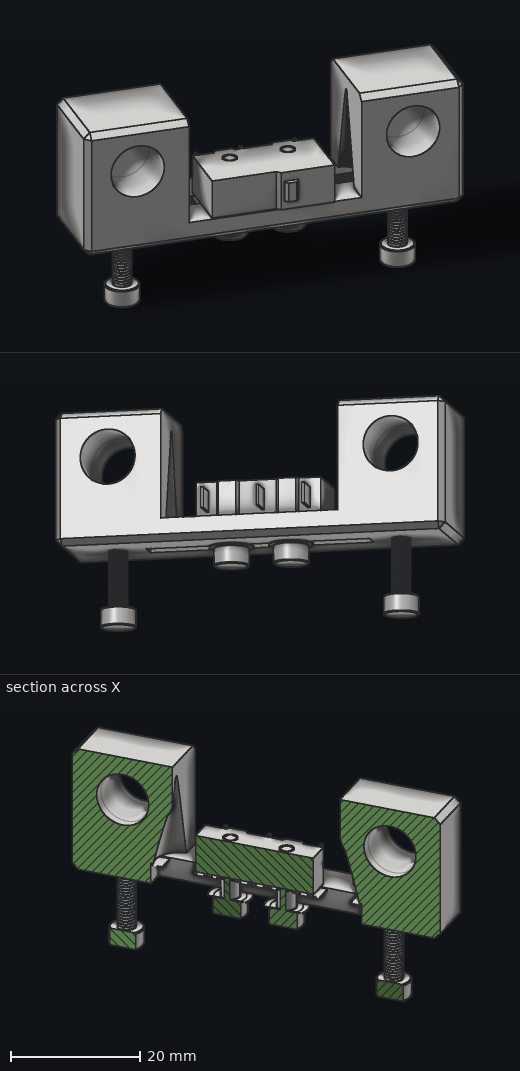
import cadquery as cq


LENGTH = 61.95
WIDTH = 15.0
HEIGHT = 21.0
EDGE_CHAMFER = 1.0
GAP_LENGTH = 28.1
FLOOR_Z = 3.55
BORE_DIAMETER = 8.7
BORE_Y = 22.5
BORE_Z = 13.65

SLOT_WIDTH = 3.0
SLOT_LENGTH = 35.45
SKIN_DEPTH = 0.2
SKIN_THICKNESS = 0.2
WINDOW_INNER_Y = 10.7
WINDOW_OUTER_Y = 15.8

CONE_RADIUS = 3.95
CONE_HEIGHT = 17.15
CONE_AXIS_Y = 13.65

SWITCH_X_MIN = -2.4
SWITCH_X_MAX = 7.75
SWITCH_STEP = 0.6
SWITCH_STEP_Y = 0.25
SWITCH_Y_MIN = -10.2
SWITCH_Y_MAX = 9.6
SWITCH_HEIGHT = 6.4
SWITCH_TOP_Z = FLOOR_Z + SWITCH_HEIGHT
RIB_HEIGHT = 0.55
RIB_BASE_LENGTH = 3.6
RIB_TOP_LENGTH = 2.8
TERMINAL_YS = (7.75, -1.05, -8.35)
TERMINAL_LENGTH = 4.0
TERMINAL_THICKNESS = 0.4
CONTACT_Z_MIN = 5.15
CONTACT_Z_MAX = 8.35
PLUNGER_Y = 2.5
PLUNGER_WIDTH = 2.3
PLUNGER_TRAVEL = 0.8
PLUNGER_CHAMFER = 0.5

THREAD_DIAMETER = 3.0
ROOT_DIAMETER = 2.35
THREAD_PITCH = 0.5
THREAD_TURNS = 23
GROOVE_MOUTH = 0.485
GROOVE_FLAT = 0.05
GROOVE_OVERSHOOT = 0.05
HEAD_DIAMETER = 5.5
HEAD_HEIGHT = 3.0
HEAD_CHAMFER = 0.2
TIP_CHAMFER = 0.25
CLAMP_SCREW_X = -0.1
CLAMP_SCREW_LENGTH = 12.0
CLAMP_HEAD_TOP_Z = -9.05
CLAMP_TIP_Z = CLAMP_HEAD_TOP_Z + CLAMP_SCREW_LENGTH
SWITCH_SCREW_X = 0.05
SWITCH_SCREW_YS = (4.5, -4.95)
WASHER_DIAMETER = 7.0
WASHER_BORE = 3.2
WASHER_THICKNESS = 0.1


def cylinder(x, y, z_min, z_max, diameter):
    return cq.Workplane("XY", origin=(x, y, z_min)).circle(diameter / 2).extrude(z_max - z_min)


def block(x_min, x_max, y_min, y_max, z_min, z_max):
    return (
        cq.Workplane("XY")
        .box(x_max - x_min, y_max - y_min, z_max - z_min, centered=False)
        .translate((x_min, y_min, z_min))
    )


def slot_strip(y_min, y_max, z_min, z_max):
    """A bar as wide as the adjustment slot, centred on the housing."""
    return block(-SLOT_WIDTH / 2, SLOT_WIDTH / 2, y_min, y_max, z_min, z_max)


def make_relief_cone():
    return (
        cq.Workplane("XZ")
        .polyline([(0, 0), (CONE_RADIUS, 0), (0, CONE_HEIGHT)])
        .close()
        .revolve(360, (0, 0), (0, 1))
    )


def make_housing():
    body = block(-WIDTH / 2, WIDTH / 2, -LENGTH / 2, LENGTH / 2, 0, HEIGHT)
    body = body.edges().chamfer(EDGE_CHAMFER)
    body = body.cut(block(-WIDTH / 2, WIDTH / 2, -GAP_LENGTH / 2, GAP_LENGTH / 2, FLOOR_Z, HEIGHT))

    for side in (1, -1):
        body = body.cut(make_relief_cone().translate((0, side * CONE_AXIS_Y, FLOOR_Z)))
        bore = cq.Workplane("YZ").center(side * BORE_Y, BORE_Z).circle(BORE_DIAMETER / 2)
        body = body.cut(bore.extrude(WIDTH / 2, both=True))
        body = body.cut(cylinder(CLAMP_SCREW_X, side * BORE_Y, 0, CLAMP_TIP_Z, THREAD_DIAMETER))

    slot_end = SLOT_LENGTH / 2
    skin_top = FLOOR_Z - SKIN_DEPTH
    skin_bottom = skin_top - SKIN_THICKNESS
    body = body.cut(slot_strip(-slot_end, slot_end, 0, FLOOR_Z))
    skin_spans = (
        (-slot_end, -WINDOW_OUTER_Y),
        (-WINDOW_INNER_Y, WINDOW_INNER_Y),
        (WINDOW_OUTER_Y, slot_end),
    )
    for y_min, y_max in skin_spans:
        body = body.union(slot_strip(y_min, y_max, skin_bottom, skin_top))

    for y in SWITCH_SCREW_YS:
        body = body.cut(cylinder(SWITCH_SCREW_X, y, 0, FLOOR_Z, THREAD_DIAMETER))
    return body


def make_switch_case():
    return (
        cq.Workplane("XY", origin=(0, 0, FLOOR_Z))
        .moveTo(SWITCH_X_MIN, SWITCH_Y_MAX)
        .lineTo(SWITCH_X_MAX, SWITCH_Y_MAX)
        .lineTo(SWITCH_X_MAX, SWITCH_STEP_Y + SWITCH_STEP)
        .lineTo(SWITCH_X_MAX - SWITCH_STEP, SWITCH_STEP_Y)
        .lineTo(SWITCH_X_MAX - SWITCH_STEP, SWITCH_Y_MIN)
        .lineTo(SWITCH_X_MIN, SWITCH_Y_MIN)
        .close()
        .extrude(SWITCH_HEIGHT)
    )


def make_rib(y):
    base = RIB_BASE_LENGTH / 2
    top = RIB_TOP_LENGTH / 2
    return (
        cq.Workplane("XY", origin=(SWITCH_X_MIN, y, FLOOR_Z))
        .polyline([(0, base), (-RIB_HEIGHT, top), (-RIB_HEIGHT, -top), (0, -base)])
        .close()
        .extrude(SWITCH_HEIGHT)
    )


def make_terminal(y):
    half = TERMINAL_THICKNESS / 2
    x_min = SWITCH_X_MIN - TERMINAL_LENGTH
    return block(x_min, SWITCH_X_MIN, y - half, y + half, CONTACT_Z_MIN, CONTACT_Z_MAX)


def make_plunger():
    half = PLUNGER_WIDTH / 2
    plunger = block(
        SWITCH_X_MAX, SWITCH_X_MAX + PLUNGER_TRAVEL,
        PLUNGER_Y - half, PLUNGER_Y + half,
        CONTACT_Z_MIN, CONTACT_Z_MAX,
    )
    return plunger.faces(">X").edges("|Z").chamfer(PLUNGER_CHAMFER)


def make_switch():
    body = make_switch_case().union(make_plunger())
    for y in SWITCH_SCREW_YS:
        body = body.union(make_rib(y))
    for y in TERMINAL_YS:
        body = body.union(make_terminal(y))
    for y in SWITCH_SCREW_YS:
        body = body.cut(cylinder(SWITCH_SCREW_X, y, FLOOR_Z, SWITCH_TOP_Z, ROOT_DIAMETER))
    return body


def make_head(x, y, z_top):
    head = cylinder(x, y, z_top - HEAD_HEIGHT, z_top, HEAD_DIAMETER)
    return head.faces("|Z").edges().chamfer(HEAD_CHAMFER)


def make_thread_groove():
    """Helical V-groove that starts at the origin and climbs along +Z."""
    root = ROOT_DIAMETER / 2
    outside = THREAD_DIAMETER / 2 + GROOVE_OVERSHOOT
    mouth = GROOVE_MOUTH / 2
    flat = GROOVE_FLAT / 2
    helix = cq.Wire.makeHelix(THREAD_PITCH, THREAD_TURNS * THREAD_PITCH, root)
    return (
        cq.Workplane("XZ")
        .polyline([(root, -flat), (outside, -mouth), (outside, mouth), (root, flat)])
        .close()
        .sweep(cq.Workplane(helix), isFrenet=True)
    )


def make_clamp_screw():
    """Threaded clamp screw standing on the Z axis."""
    groove_start = CLAMP_HEAD_TOP_Z + GROOVE_MOUTH / 2 + GROOVE_FLAT / 2
    shank = cylinder(0, 0, CLAMP_HEAD_TOP_Z, CLAMP_TIP_Z, THREAD_DIAMETER)
    shank = shank.cut(make_thread_groove().translate((0, 0, groove_start)))
    return shank.union(make_head(0, 0, CLAMP_HEAD_TOP_Z))


def make_switch_screw(y):
    """Screw through washer and floor, with a thinner end that fills the hole in the switch."""
    head_top = -WASHER_THICKNESS
    shank = cylinder(SWITCH_SCREW_X, y, head_top, FLOOR_Z, THREAD_DIAMETER)
    tip = cylinder(SWITCH_SCREW_X, y, FLOOR_Z, SWITCH_TOP_Z, ROOT_DIAMETER)
    tip = tip.faces(">Z").edges().chamfer(TIP_CHAMFER)
    return make_head(SWITCH_SCREW_X, y, head_top).union(shank).union(tip)


def make_washer(y):
    disc = cylinder(SWITCH_SCREW_X, y, -WASHER_THICKNESS, 0, WASHER_DIAMETER)
    return disc.cut(cylinder(SWITCH_SCREW_X, y, -WASHER_THICKNESS, 0, WASHER_BORE))


housing = make_housing()
switch = make_switch()
clamp_screw = make_clamp_screw()
clamp_screws = [clamp_screw.translate((CLAMP_SCREW_X, side * BORE_Y, 0)).val() for side in (1, -1)]
switch_screws = [make_switch_screw(y).val() for y in SWITCH_SCREW_YS]
washers = [make_washer(y).val() for y in SWITCH_SCREW_YS]

result = cq.Compound.makeCompound(
    [housing.val(), switch.val(), *clamp_screws, *switch_screws, *washers]
)